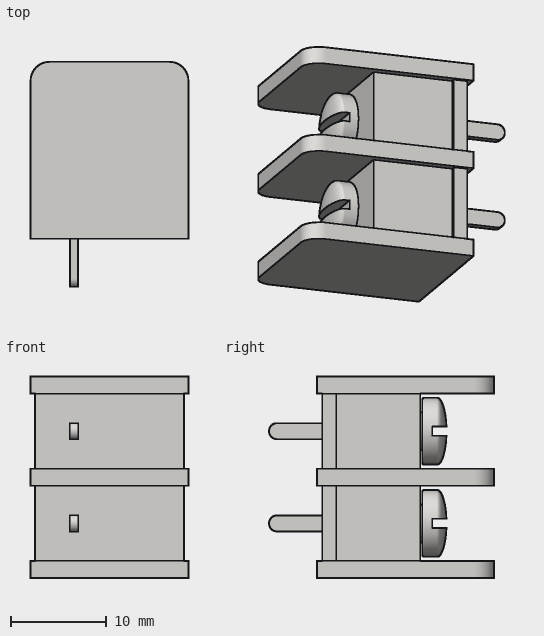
import cadquery as cq


POLES = 2
BLOCK_WIDTH = 16.5
BLOCK_HEIGHT = 21.05
PLATE_DEPTH = 18.5
PLATE_THICKNESS = 1.8
PLATE_CORNER_RADIUS = 2.0
PITCH = (BLOCK_HEIGHT - PLATE_THICKNESS) / POLES
BAY_HEIGHT = PITCH - PLATE_THICKNESS

FLANGE_SIDE_INSET = 0.45
BODY_SIDE_INSET = 0.95
FLANGE_FRONT = 0.55
FLANGE_DEPTH = 1.5
BODY_BACK = 10.8
FLANGE_BACK = FLANGE_FRONT + FLANGE_DEPTH
FLANGE_WIDTH = BLOCK_WIDTH - 2 * FLANGE_SIDE_INSET
BODY_WIDTH = BLOCK_WIDTH - 2 * BODY_SIDE_INSET

PIN_WIDTH = 0.85
PIN_HEIGHT = 1.7
PIN_PROTRUSION = 5.0
PIN_FROM_SIDE = 4.55
PIN_X = PIN_FROM_SIDE - BLOCK_WIDTH / 2

NECK_RADIUS = 2.0
NECK_LENGTH = 0.2
HEAD_RADIUS = 3.5
HEAD_RIM_LENGTH = 1.55
HEAD_EDGE_RADIUS = 0.2
DOME_HEIGHT = 1.0
SLOT_WIDTH = 0.95
SLOT_DEPTH = 1.5
HEAD_BACK = BODY_BACK + NECK_LENGTH
DOME_START = HEAD_BACK + HEAD_RIM_LENGTH
SCREW_TIP = DOME_START + DOME_HEIGHT


def block(width, y_start, y_end, z_start, height):
    """Box centred on X."""
    return (
        cq.Workplane("XY", origin=(0, (y_start + y_end) / 2, z_start))
        .box(width, y_end - y_start, height, centered=(True, True, False))
    )


def barrier_plate(z_start):
    plate = block(BLOCK_WIDTH, 0, PLATE_DEPTH, z_start, PLATE_THICKNESS)
    return plate.edges("|Z and >Y").fillet(PLATE_CORNER_RADIUS)


def housing(z_start):
    flange = block(FLANGE_WIDTH, FLANGE_FRONT, FLANGE_BACK, z_start, BAY_HEIGHT)
    body = block(BODY_WIDTH, FLANGE_BACK, BODY_BACK, z_start, BAY_HEIGHT)
    return flange.union(body)


def solder_pin(z_centre):
    """Flat pin pointing towards -Y with a fully rounded tip."""
    tip_radius = PIN_HEIGHT / 2
    y_tip_centre = tip_radius - PIN_PROTRUSION
    return (
        cq.Workplane("YZ", origin=(PIN_X - PIN_WIDTH / 2, 0, z_centre))
        .moveTo(FLANGE_FRONT, -tip_radius)
        .lineTo(y_tip_centre, -tip_radius)
        .threePointArc((y_tip_centre - tip_radius, 0), (y_tip_centre, tip_radius))
        .lineTo(FLANGE_FRONT, tip_radius)
        .close()
        .extrude(PIN_WIDTH)
    )


def screw(z_centre):
    """Screw with an elliptical domed head and a slot running along X."""
    neck = (
        cq.Workplane("XZ", origin=(0, HEAD_BACK, z_centre))
        .circle(NECK_RADIUS)
        .extrude(NECK_LENGTH)
    )
    rim = (
        cq.Workplane("XZ", origin=(0, DOME_START, z_centre))
        .circle(HEAD_RADIUS)
        .extrude(HEAD_RIM_LENGTH)
        .edges("<Y")
        .fillet(HEAD_EDGE_RADIUS)
    )
    dome = (
        cq.Workplane("XY", origin=(0, DOME_START, z_centre))
        .moveTo(HEAD_RADIUS, 0)
        .ellipseArc(HEAD_RADIUS, DOME_HEIGHT, 0, 90, startAtCurrent=True)
        .lineTo(0, 0)
        .close()
        .revolve(360, (0, 0, 0), (0, 1, 0))
    )
    slot = block(
        2 * HEAD_RADIUS, SCREW_TIP - SLOT_DEPTH, SCREW_TIP, z_centre - SLOT_WIDTH / 2, SLOT_WIDTH
    )
    return neck.union(rim).union(dome).cut(slot)


result = barrier_plate(0)
for pole in range(POLES):
    plate_bottom = pole * PITCH
    bay_bottom = plate_bottom + PLATE_THICKNESS
    bay_centre = bay_bottom + BAY_HEIGHT / 2
    result = result.union(barrier_plate(plate_bottom + PITCH))
    result = result.union(housing(bay_bottom))
    result = result.union(solder_pin(bay_centre))
    result = result.union(screw(bay_centre))